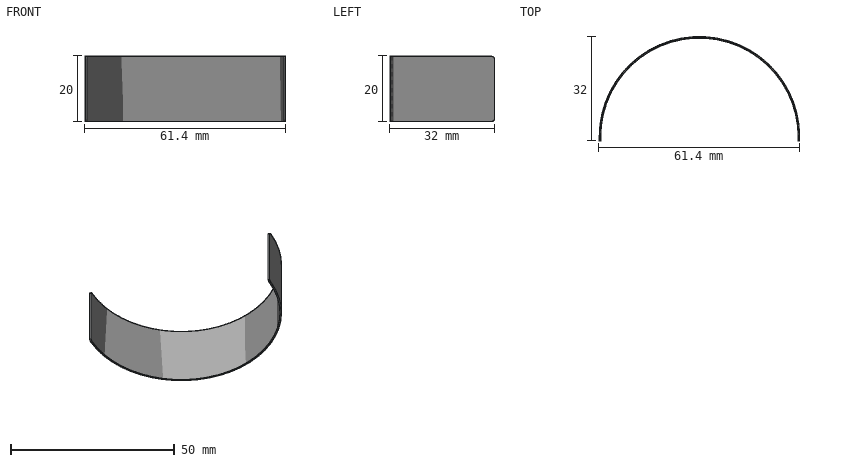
import cadquery as cq

outer_radius = 30.7
wall = 0.5
height = 20.0
leg_length = 1.35
corner_radius = 1.0

inner_radius = outer_radius - wall

band = (
    cq.Workplane("XY")
    .moveTo(-outer_radius, -leg_length)
    .lineTo(-outer_radius, 0)
    .threePointArc((0, outer_radius), (outer_radius, 0))
    .lineTo(outer_radius, -leg_length)
    .lineTo(inner_radius, -leg_length)
    .lineTo(inner_radius, 0)
    .threePointArc((0, inner_radius), (-inner_radius, 0))
    .lineTo(-inner_radius, -leg_length)
    .close()
    .extrude(height)
)

result = band.faces("<Y").edges("|X").fillet(corner_radius)